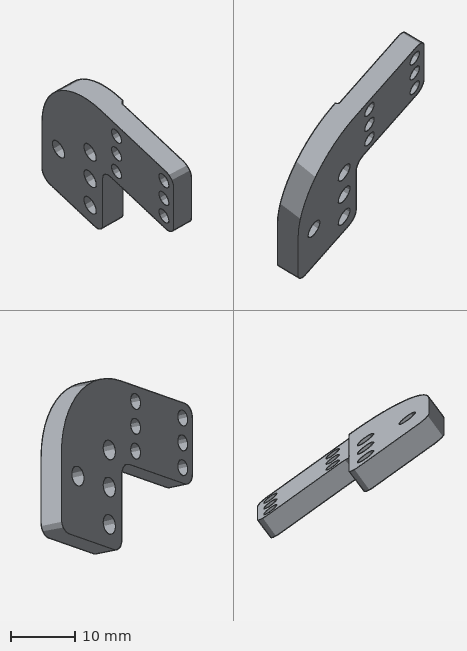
import cadquery as cq

length = 33.4
height = 27.6
thickness = 4.0

leg_width = 15.4
arm_height = 13.0
outer_bend_radius = 15.0
corner_radius = 2.0

relief_depth = 0.5
relief_fillet = 0.5

arm_hole_diameter = 2.5
arm_hole_end_margin = 2.5
arm_column_spacing = 12.0
arm_row_spacing = 4.0

leg_hole_diameter = 3.1
leg_column_x = 12.2
leg_bottom_hole_z = 3.8
leg_row_spacing = 6.0
leg_side_hole_offset = 8.0

arm_bottom = height - arm_height


def plate():
    """Full-thickness L plate with its front face on Y = 0."""
    leg = cq.Workplane("XY").box(leg_width, thickness, height, centered=False)
    arm = (
        cq.Workplane("XY", origin=(0, 0, arm_bottom))
        .box(length, thickness, arm_height, centered=False)
    )
    sharp_plate = leg.union(arm).clean()
    outer_corner = cq.selectors.NearestToPointSelector((0, thickness / 2, height))
    bent_plate = sharp_plate.edges("|Y").edges(outer_corner).fillet(outer_bend_radius)

    corners = [
        (0, 0),
        (leg_width, 0),
        (leg_width, arm_bottom),
        (length, arm_bottom),
        (length, height),
    ]
    for x, z in corners:
        corner = cq.selectors.NearestToPointSelector((x, thickness / 2, z))
        bent_plate = bent_plate.edges("|Y").edges(corner).fillet(corner_radius)
    return bent_plate


def arm_relief():
    """Material removed from the back of the arm, with a concave fillet at the step."""
    floor_y = thickness - relief_depth
    return (
        cq.Workplane("XY")
        .moveTo(leg_width, thickness)
        .radiusArc((leg_width + relief_fillet, floor_y), -relief_fillet)
        .lineTo(length, floor_y)
        .lineTo(length, thickness)
        .close()
        .extrude(height)
    )


def through_holes(centers, diameter):
    """Cylinders along Y through the plate at the given (X, Z) centres."""
    return cq.Workplane("XZ").pushPoints(centers).circle(diameter / 2).extrude(-thickness)


arm_right_x = length - arm_hole_end_margin
arm_middle_z = arm_bottom + arm_height / 2
arm_centers = [
    (arm_right_x - column * arm_column_spacing, arm_middle_z + row * arm_row_spacing)
    for column in (0, 1)
    for row in (-1, 0, 1)
]

leg_centers = [(leg_column_x, leg_bottom_hole_z + row * leg_row_spacing) for row in range(3)]
leg_centers.append((leg_column_x - leg_side_hole_offset, leg_bottom_hole_z + leg_row_spacing))

result = (
    plate()
    .cut(arm_relief())
    .cut(through_holes(arm_centers, arm_hole_diameter))
    .cut(through_holes(leg_centers, leg_hole_diameter))
)